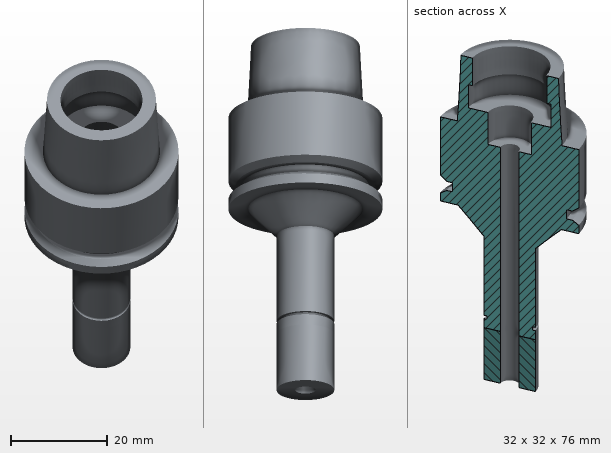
import cadquery as cq

total_height = 76.0
flange_radius = 32.0 / 2

shank_radius = 6.0
sleeve_length = 12.3
relief_radius = 5.3
relief_bottom = 14.6
relief_top = 15.3
shank_top = 34.1

cone_top_radius = 11.9
flange_bottom = 40.05
lower_lip_edge = 42.1
grip_groove_bottom = 43.0
grip_groove_top = 45.1
upper_lip_edge = 46.2
flange_top = 60.2
grip_groove_radius = 13.2
lip_radius = 14.5

taper_base_radius = 12.15
taper_tip_radius = 11.3

through_radius = 2.1
mouth_radius = 8.5
mouth_depth = 6.7
undercut_radius = 9.5
undercut_depth = 5.4
counterbore_radius = 4.95
counterbore_depth = 7.6


def cylinder(radius, bottom, height):
    """Vertical cylinder on the Z axis."""
    return cq.Workplane("XY").workplane(offset=bottom).circle(radius).extrude(height)


def make_holder_blank():
    """Revolve the outside profile, from the sleeve joint to the taper tip."""
    profile = [
        (0, sleeve_length),
        (shank_radius, sleeve_length),
        (shank_radius, relief_bottom),
        (relief_radius, relief_bottom),
        (relief_radius, relief_top),
        (shank_radius, relief_top),
        (shank_radius, shank_top),
        (cone_top_radius, flange_bottom),
        (flange_radius, flange_bottom),
        (flange_radius, lower_lip_edge),
        (lip_radius, grip_groove_bottom),
        (grip_groove_radius, grip_groove_bottom),
        (grip_groove_radius, grip_groove_top),
        (lip_radius, grip_groove_top),
        (flange_radius, upper_lip_edge),
        (flange_radius, flange_top),
        (taper_base_radius, flange_top),
        (taper_tip_radius, total_height),
        (0, total_height),
    ]
    return cq.Workplane("XZ").polyline(profile).close().revolve(360, (0, 0), (0, 1))


def make_holder():
    """Holder with its clamping mouth, undercut, counterbore and through hole."""
    undercut_top = total_height - mouth_depth
    socket_floor = undercut_top - undercut_depth
    mouth = cylinder(mouth_radius, undercut_top, mouth_depth)
    undercut = cylinder(undercut_radius, socket_floor, undercut_depth)
    counterbore = cylinder(counterbore_radius, socket_floor - counterbore_depth, counterbore_depth)
    through_hole = cylinder(through_radius, 0, total_height)
    return make_holder_blank().cut(mouth).cut(undercut).cut(counterbore).cut(through_hole)


def make_nose_sleeve():
    """Plain sleeve that continues the shank below the joint."""
    through_hole = cylinder(through_radius, 0, sleeve_length)
    return cylinder(shank_radius, 0, sleeve_length).cut(through_hole)


holder = make_holder()
nose_sleeve = make_nose_sleeve()

result = cq.Compound.makeCompound([holder.val(), nose_sleeve.val()])